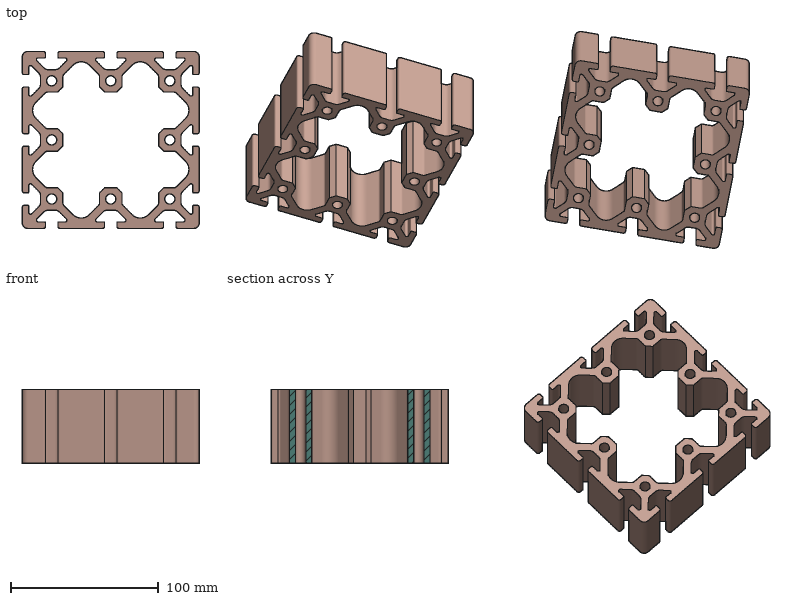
import cadquery as cq

side = 120.0
length = 50.0
corner_radius = 4.0
modules = 3
pitch = side / modules
slot_centres = [(i - (modules - 1) / 2) * pitch for i in range(modules)]

slot_opening = 8.3
slot_half_opening = slot_opening / 2
lip_thickness = 4.5
cavity_half_width = 10.2
slot_depth = 12.4
floor_half_width = 4.1
lip_outer_radius = 1.5
lip_inner_radius = 0.7
cavity_tip_radius = 1.0
floor_radius = 4.1

bore_diameter = 6.7
core_half = 7.7
core_chamfer = 3.6
core_ring = side / 2 - pitch / 2

bay_half_width = pitch / 2 - core_half
web_start = 3.7
web_foot_radius = 2.2
bay_radius = 7.8

overcut = 1.2
select_margin = 0.01


def prism(points):
    """Extrude a closed outline over the full length."""
    return cq.Workplane("XY").polyline(points).close().extrude(length)


def mirrored(half_outline):
    """Complete an outline given on its +X half."""
    return half_outline + [(-x, y) for x, y in reversed(half_outline)]


def round_edges(solid, x, y, radius):
    """Fillet the upright edges at (x, y) and (-x, y)."""
    def edge_box(centre_x):
        low = (centre_x - select_margin, y - select_margin, -select_margin)
        high = (centre_x + select_margin, y + select_margin, length + select_margin)
        return cq.selectors.BoxSelector(low, high)

    return solid.edges(edge_box(x) + edge_box(-x)).fillet(radius)


def turned(solid, quarter):
    """Turn a solid about the part axis by a number of quarter turns."""
    return solid.rotate((0, 0, 0), (0, 0, 1), 90 * quarter)


def slot_cutter():
    """T-slot centred on X = 0, opening through the +Y face."""
    face = side / 2
    lip = face - lip_thickness
    floor = face - slot_depth
    tip = floor + cavity_half_width - floor_half_width
    mouth = slot_half_opening + lip_outer_radius + overcut
    cutter = prism(mirrored([
        (mouth, face + overcut),
        (mouth, face),
        (slot_half_opening, face),
        (slot_half_opening, lip),
        (cavity_half_width, lip),
        (cavity_half_width, tip),
        (floor_half_width, floor),
    ]))
    cutter = round_edges(cutter, slot_half_opening, face, lip_outer_radius)
    cutter = round_edges(cutter, slot_half_opening, lip, lip_inner_radius)
    cutter = round_edges(cutter, cavity_half_width, lip, cavity_tip_radius)
    cutter = round_edges(cutter, cavity_half_width, tip, cavity_tip_radius)
    return round_edges(cutter, floor_half_width, floor, floor_radius)


def bay_cutter():
    """Bay between two neighbouring cores, centred on X = 0 and pointing to +Y."""
    shoulder = core_ring + web_start
    apex = shoulder + bay_half_width
    cutter = prism([
        (bay_half_width, 0),
        (bay_half_width, shoulder),
        (0, apex),
        (-bay_half_width, shoulder),
        (-bay_half_width, 0),
    ])
    cutter = round_edges(cutter, bay_half_width, shoulder, web_foot_radius)
    return round_edges(cutter, 0, apex, bay_radius)


core_points = [
    (x, y)
    for i, x in enumerate(slot_centres)
    for j, y in enumerate(slot_centres)
    if 0 in (i, j) or modules - 1 in (i, j)
]

hollow = cq.Workplane("XY").rect(2 * core_ring, 2 * core_ring).extrude(length)
bay = bay_cutter()
for quarter in range(4):
    for left, right in zip(slot_centres, slot_centres[1:]):
        hollow = hollow.union(turned(bay.translate(((left + right) / 2, 0, 0)), quarter))
core = cq.Workplane("XY").rect(2 * core_half, 2 * core_half).extrude(length)
core = core.edges("|Z").chamfer(core_chamfer)
for x, y in core_points:
    hollow = hollow.cut(core.translate((x, y, 0)))

body = cq.Workplane("XY").rect(side, side).extrude(length)
body = body.edges("|Z").fillet(corner_radius)
body = body.cut(hollow)

slot = slot_cutter()
for quarter in range(4):
    for x in slot_centres:
        body = body.cut(turned(slot.translate((x, 0, 0)), quarter))

bores = cq.Workplane("XY").pushPoints(core_points).circle(bore_diameter / 2).extrude(length)
result = body.cut(bores)